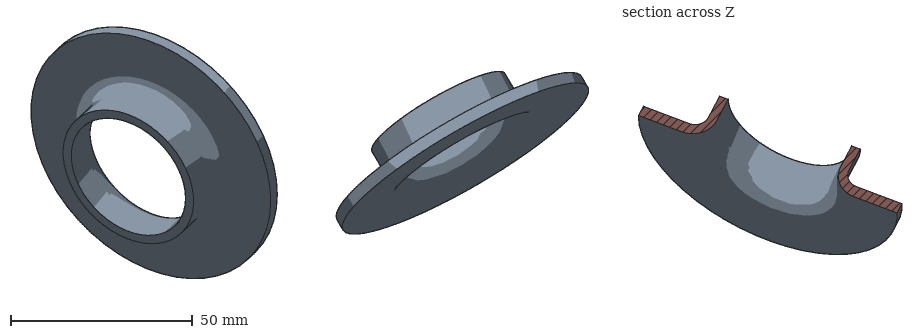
import cadquery as cq

flange_diameter = 78.0
flange_thickness = 3.4
total_length = 15.0

collar_diameter = 42.4
bore_diameter = 37.1
neck_fillet = 4.0

flare_radius = neck_fillet + flange_thickness

back_y = total_length / 2


def disc(diameter, thickness):
    """Disc on the Y axis, reaching forward (-Y) from the back face."""
    return cq.Workplane("XZ", origin=(0, back_y, 0)).circle(diameter / 2).extrude(thickness)


def flanged_collar():
    """Solid flange and collar with a concave fillet at the neck."""
    body = disc(flange_diameter, flange_thickness).union(disc(collar_diameter, total_length))
    flange_front = body.faces("%PLANE").faces(cq.selectors.CenterNthSelector(cq.Vector(0, 1, 0), -2))
    return flange_front.edges(cq.selectors.RadiusNthSelector(0)).fillet(neck_fillet)


def cut_flared_bore(body):
    """Through bore, with its mouth rounded on the back face."""
    bored = body.cut(disc(bore_diameter, total_length))
    mouth = bored.faces(">Y").edges(cq.selectors.RadiusNthSelector(0))
    return mouth.fillet(flare_radius)


result = cut_flared_bore(flanged_collar())